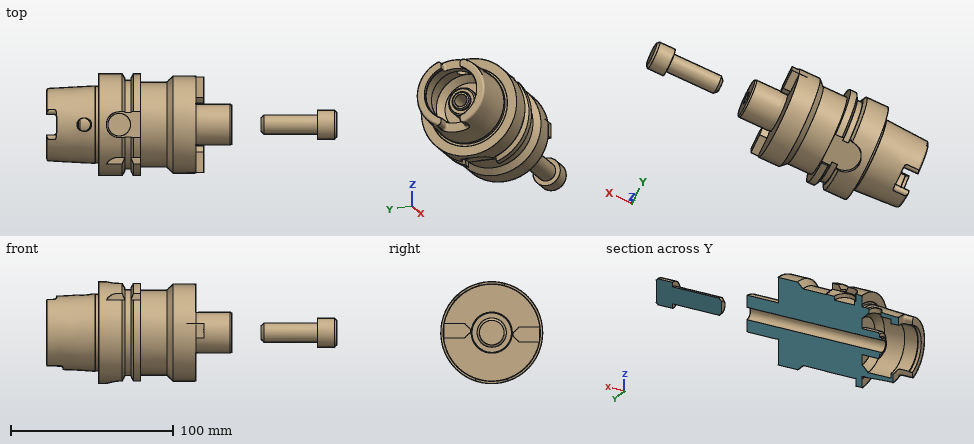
import cadquery as cq
import math


shank_length = 32.0
taper_big_radius = 24.0
taper_small_radius = 22.4
taper_end_round = 1.5
relief_width = 2.1
relief_depth = 0.2
relief_face_radius = 25.5
bore_radius = 17.0
bore_mouth_radius = 17.27
bore_mouth_length = 2.1
bore_lip_length = 11.6
cavity_radius = 19.95
bore_floor_radius = 15.8
bore_floor_x = 0.0

boss_radius = 9.04
boss_x = -12.4
boss_chamfer = 0.9
tube_radius = 6.0
tube_projection = 1.8
tube_chamfer = 0.7
through_hole_diameter = 8.0

drive_slot_width = 12.5
drive_slot_depth_top = 6.0
drive_slot_depth_bottom = 10.0
drive_slot_corner_radius = 1.6
drive_slot_edge_radius = 2.1

access_hole_x = -9.1
access_hole_diameter = 8.0
access_hole_mouth_depth = 0.9

flange_radius = 31.5
flange_width = 26.0
groove_start = 14.5
groove_end = 21.5
groove_radius = 27.5
groove_flank_width = 1.6
groove_flank_angle = 60
front_slot_width = 16.0
front_slot_x = 12.7
back_slot_x = 14.7
back_slot_width = 20.0
flange_slot_floor = 26.5
chip_pocket_diameter = 14.0
chip_pocket_depth = 2.7
notch_offset = 20.2
notch_x = 11.8
notch_width = front_slot_width

neck_radius = 26.3
neck_end = 42.0
disc_radius = 30.0
disc_start = 46.0
disc_end = 60.0
disc_edge_length = 1.0
disc_edge_drop = 0.2
spigot_radius = 12.7
spigot_end = 82.2
spigot_chamfer_length = 1.0
spigot_chamfer_drop = 0.5
undercut_radius = 12.5
undercut_width = 1.3
undercut_runout = 0.7

key_start = 54.6
key_end = 65.0
key_inner = 13.0
key_outer = 29.5
key_top = 5.7
key_bottom = -3.4
key_chamfer = 3.8

screw_tip_x = 100.0
screw_head_x = 135.0
screw_end_x = 179 - shank_length
screw_radius = 6.0
screw_tip_chamfer = 2.0
screw_head_radius = 9.04
screw_head_chamfer = 1.5


def revolve_about_x(points):
    """Turn a closed outline of (x, radius) points about the X axis."""
    return cq.Workplane("XY").polyline(points).close().revolve(360, (0, 0, 0), (1, 0, 0))


def turn_over(body):
    """Turn a body half a turn about the X axis."""
    return body.rotate((0, 0, 0), (1, 0, 0), 180)


def make_shank():
    relief_radius = taper_big_radius - relief_depth
    shank = revolve_about_x(
        [
            (-shank_length, 0),
            (-shank_length, taper_small_radius),
            (-relief_width, taper_big_radius),
            (-relief_width + relief_depth, relief_radius),
            (relief_depth, relief_radius),
            (relief_depth, 0),
        ]
    )
    return shank.faces("<X").edges().fillet(taper_end_round)


def make_bore():
    mouth_x = -shank_length
    lip_x = mouth_x + bore_lip_length
    mouth_step = bore_mouth_radius - bore_radius
    floor_chamfer = cavity_radius - bore_floor_radius
    return revolve_about_x(
        [
            (mouth_x, 0),
            (mouth_x, bore_mouth_radius),
            (mouth_x + bore_mouth_length, bore_mouth_radius),
            (mouth_x + bore_mouth_length + mouth_step, bore_radius),
            (lip_x, bore_radius),
            (lip_x, cavity_radius),
            (bore_floor_x - floor_chamfer, cavity_radius),
            (bore_floor_x, bore_floor_radius),
            (bore_floor_x, 0),
        ]
    )


def make_boss():
    """A chamfered boss on the bore floor that carries a short coolant tube."""
    tube_x = boss_x - tube_projection
    return revolve_about_x(
        [
            (bore_floor_x, 0),
            (bore_floor_x, boss_radius),
            (boss_x + boss_chamfer, boss_radius),
            (boss_x, boss_radius - boss_chamfer),
            (boss_x, tube_radius),
            (tube_x + tube_chamfer, tube_radius),
            (tube_x, tube_radius - tube_chamfer),
            (tube_x, 0),
        ]
    )


def make_drive_slot(depth):
    """A slot in the +Z side of the open end, its side walls rounded over into the taper."""
    wall = drive_slot_width / 2
    radius = drive_slot_edge_radius
    center_y = wall + radius
    center_z = math.sqrt((taper_small_radius - radius) ** 2 - center_y**2)
    lean = math.atan2(center_z, center_y)
    middle = (math.pi + lean) / 2

    def round_point(side, angle):
        return (
            side * (center_y + radius * math.cos(angle)),
            center_z + radius * math.sin(angle),
        )

    profile = (
        cq.Workplane("YZ", origin=(-shank_length - depth, 0, 0))
        .moveTo(-wall, 0)
        .lineTo(-wall, center_z)
        .threePointArc(round_point(-1, middle), round_point(-1, lean))
        .lineTo(-center_y, flange_radius)
        .lineTo(center_y, flange_radius)
        .lineTo(*round_point(1, lean))
        .threePointArc(round_point(1, middle), (wall, center_z))
        .lineTo(wall, 0)
        .close()
    )
    slot = profile.extrude(2 * depth)
    corners = slot.faces(">X").edges("(not <Z) and (not >Z)")
    return corners.fillet(drive_slot_corner_radius)


def make_access_hole():
    """A radial hole into the +Z side of the cavity, countersunk at 45 degrees."""
    radius = access_hole_diameter / 2
    depth = access_hole_mouth_depth
    hole_axis_point = cq.Vector(access_hole_x, 0, 0)
    hole = cq.Solid.makeCylinder(radius, taper_big_radius, hole_axis_point)
    mouth_point = cq.Vector(access_hole_x, 0, taper_big_radius - depth)
    mouth = cq.Solid.makeCone(radius, radius + depth, depth, mouth_point)
    return cq.Workplane(hole).union(cq.Workplane(mouth))


def make_front():
    """The flange, neck, disc and spigot as one turned shape."""
    flank_drop = groove_flank_width * math.tan(math.radians(groove_flank_angle))
    flank_radius = flange_radius - flank_drop
    undercut_end = disc_end + undercut_width
    return revolve_about_x(
        [
            (relief_depth, 0),
            (relief_depth, relief_face_radius - relief_depth),
            (0, relief_face_radius),
            (0, flange_radius),
            (groove_start, flange_radius),
            (groove_start + groove_flank_width, flank_radius),
            (groove_start + groove_flank_width, groove_radius),
            (groove_end - groove_flank_width, groove_radius),
            (groove_end - groove_flank_width, flank_radius),
            (groove_end, flange_radius),
            (flange_width, flange_radius),
            (flange_width, neck_radius),
            (neck_end, neck_radius),
            (disc_start, disc_radius),
            (disc_end - disc_edge_length, disc_radius),
            (disc_end, disc_radius - disc_edge_drop),
            (disc_end, undercut_radius),
            (undercut_end, undercut_radius),
            (undercut_end + undercut_runout, spigot_radius),
            (spigot_end - spigot_chamfer_length, spigot_radius),
            (spigot_end, spigot_radius - spigot_chamfer_drop),
            (spigot_end, 0),
        ]
    )


def make_flange_slot(center_x, y, floor, width):
    """A round-ended slot open toward the neck, with its floor facing +Z."""
    length = flange_width - center_x
    end_radius = width / 2
    base = cq.Workplane("XY", origin=(center_x, y, floor))
    round_end = base.circle(end_radius).extrude(flange_radius)
    straight = base.center(length / 2, 0).rect(length, width).extrude(flange_radius)
    return round_end.union(straight)


def make_chip_pocket():
    pocket_floor = flange_slot_floor - chip_pocket_depth
    return (
        cq.Workplane("XY", origin=(front_slot_x, 0, pocket_floor))
        .circle(chip_pocket_diameter / 2)
        .extrude(flange_radius)
    )


def make_key():
    """The drive key on the -Y side, chamfered at its inner end."""
    key = (
        cq.Workplane("YZ", origin=(key_start, 0, 0))
        .polyline(
            [
                (-key_outer, key_bottom),
                (-key_outer, key_top),
                (-key_inner - key_chamfer, key_top),
                (-key_inner, key_top - key_chamfer),
                (-key_inner, key_bottom + key_chamfer),
                (-key_inner - key_chamfer, key_bottom),
            ]
        )
        .close()
        .extrude(key_end - key_start)
    )
    return key


def make_shank_with_cuts():
    shank = make_shank().cut(make_bore())
    shank = shank.cut(make_drive_slot(drive_slot_depth_top))
    shank = shank.cut(turn_over(make_drive_slot(drive_slot_depth_bottom)))
    shank = shank.cut(make_access_hole())
    return shank.union(make_boss())


def make_front_with_cuts():
    front = make_front()
    front = front.cut(make_flange_slot(front_slot_x, 0, flange_slot_floor, front_slot_width))
    front = front.cut(turn_over(make_flange_slot(back_slot_x, 0, flange_slot_floor, back_slot_width)))
    notch_y = -notch_offset - notch_width / 2
    front = front.cut(make_flange_slot(notch_x, notch_y, notch_offset, notch_width))
    front = front.cut(make_chip_pocket())
    key = make_key()
    return front.union(key).union(turn_over(key))


def make_holder():
    holder = make_shank_with_cuts().union(make_front_with_cuts())
    through_hole = (
        cq.Workplane("YZ", origin=(-shank_length, 0, 0))
        .circle(through_hole_diameter / 2)
        .extrude(shank_length + spigot_end)
    )
    return holder.cut(through_hole)


def make_screw():
    return revolve_about_x(
        [
            (screw_tip_x, 0),
            (screw_tip_x, screw_radius - screw_tip_chamfer),
            (screw_tip_x + screw_tip_chamfer, screw_radius),
            (screw_head_x, screw_radius),
            (screw_head_x, screw_head_radius),
            (screw_end_x - screw_head_chamfer, screw_head_radius),
            (screw_end_x, screw_head_radius - screw_head_chamfer),
            (screw_end_x, 0),
        ]
    )


holder = make_holder()
screw = make_screw()
result = cq.Compound.makeCompound([holder.val(), screw.val()])